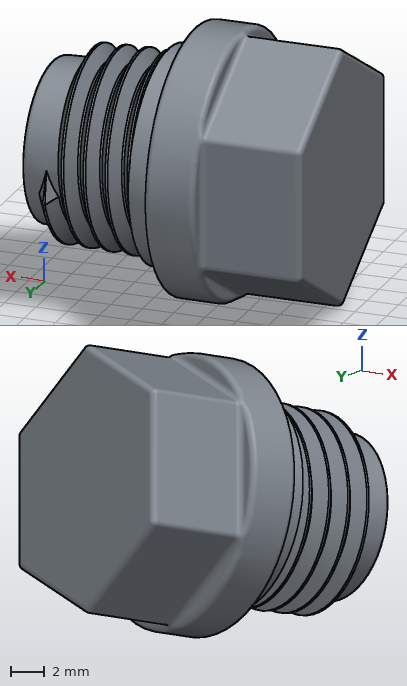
import math

import cadquery as cq

total_length = 18.54
edge_radius = 0.381

across_flats = 14.224
head_length = 6.35

flange_diameter = 16.76
flange_end = 9.525
neck_diameter = 13.46
neck_end = 11.1125

pitch = 25.4 / 18
taper = 1 / 32
crest_width = 0.15
thread_depth = 0.96
flank_angle = 30
crest_end_radius = 6.09
thread_end_x = 16.85
thread_end_angle = -18.5
run_out_angle = 20
root_overlap = 0.04
neck_run_in = 0.5 * pitch


def core_radius(x):
    """Radius of the tapered core at a position along the axis."""
    return crest_end_radius - thread_depth + (thread_end_x - x) * taper


def make_head_and_flange():
    """Hexagon blended into the flange, with every outer edge rounded."""
    base = cq.Workplane("YZ")
    corner_diameter = across_flats / math.cos(math.pi / 6)
    hexagon = base.transformed(rotate=(0, 0, 90)).polygon(6, corner_diameter).extrude(flange_end)
    hexagon = hexagon.edges("|X").fillet(edge_radius)
    hexagon = hexagon.faces("<X").edges().fillet(edge_radius)

    oversize_radius = flange_diameter / 2 + 4 * edge_radius
    disc = base.workplane(offset=head_length).circle(oversize_radius)
    blank = hexagon.union(disc.extrude(flange_end - head_length))
    ledge = blank.faces("<X[1]").val()
    blank = blank.newObject(ledge.innerWires()[0].Edges()).fillet(edge_radius)
    blank = blank.intersect(base.circle(flange_diameter / 2).extrude(flange_end))

    rim = blank.faces("%CYLINDER").sort(lambda face: -face.Area()).first()
    return rim.edges("not %LINE").fillet(edge_radius)


def add_neck(body):
    """Plain collar behind the flange, with a blended root."""
    neck = cq.Workplane("YZ").workplane(offset=head_length).circle(neck_diameter / 2)
    body = body.union(neck.extrude(neck_end - head_length))
    back_face = body.faces(">X[-2]").val()
    return body.newObject(back_face.innerWires()[0].Edges()).fillet(edge_radius)


def make_core():
    """Tapered core that carries the thread, rounded at its free end."""
    profile = [
        (flange_end, 0),
        (total_length, 0),
        (total_length, core_radius(total_length)),
        (flange_end, core_radius(flange_end)),
    ]
    core = cq.Workplane("XY").polyline(profile).close().revolve(360, (0, 0, 0), (1, 0, 0))
    return core.faces(">X").edges().fillet(edge_radius)


def make_flat_face(corners):
    """Flat polygon face through the given corners."""
    return cq.Face.makeFromWires(cq.Wire.makePolygon(corners, close=True))


def make_thread():
    """Thread ridge bounded by four conical helices, grown along Z and pointed at its start."""
    length = thread_end_x - neck_end + neck_run_in
    taper_angle = math.degrees(math.atan(taper))
    root_radius = crest_end_radius - thread_depth - root_overlap
    half_crest = crest_width / 2
    half_root = half_crest + (thread_depth + root_overlap) * math.tan(math.radians(flank_angle))
    section = [
        (root_radius, -half_root),
        (crest_end_radius, -half_crest),
        (crest_end_radius, half_crest),
        (root_radius, half_root),
    ]
    helices = []
    for radius, offset in section:
        start = cq.Vector(0, 0, offset)
        helix = cq.Wire.makeHelix(pitch, length, radius, center=start, angle=taper_angle)
        helices.append(helix)

    faces = []
    for index, helix in enumerate(helices):
        following = helices[(index + 1) % len(helices)]
        faces.append(cq.Face.makeRuledSurface(helix, following))
    neck_corners = [helix.endPoint() for helix in helices]
    faces.append(make_flat_face(neck_corners))

    run_out = math.radians(run_out_angle)
    tip = cq.Vector(
        root_radius * math.cos(run_out),
        -root_radius * math.sin(run_out),
        -pitch * run_out_angle / 360,
    )
    end_corners = [helix.startPoint() for helix in helices]
    for index, corner in enumerate(end_corners):
        following = end_corners[(index + 1) % len(end_corners)]
        faces.append(make_flat_face([corner, following, tip]))

    ridge = cq.Workplane(obj=cq.Solid.makeSolid(cq.Shell.makeShell(faces)))

    ridge = ridge.rotate((0, 0, 0), (0, 1, 0), -90)
    ridge = ridge.rotate((0, 0, 0), (1, 0, 0), thread_end_angle - 90)
    return ridge.translate((thread_end_x, 0, 0))


body = add_neck(make_head_and_flange())
result = body.union(make_core()).union(make_thread())